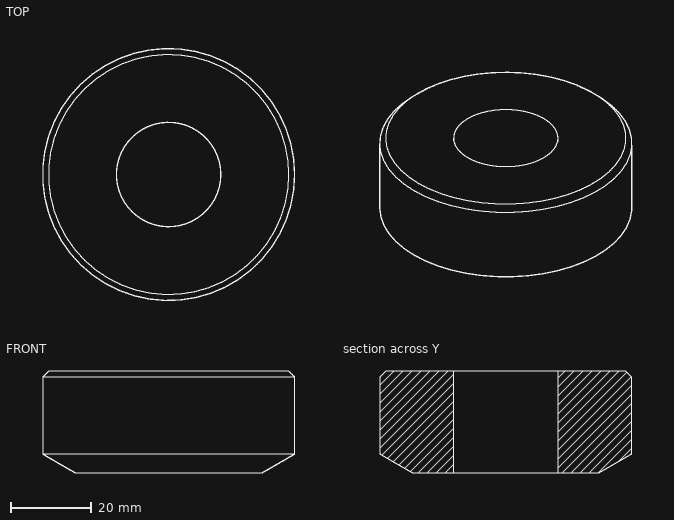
import cadquery as cq
import math

outer_diameter = 63.0
height = 25.5
bore_diameter = 26.0

top_chamfer = 1.5
bottom_bevel_width = 8.2
bottom_bevel_angle = 30.0

outer_radius = outer_diameter / 2
bore_radius = bore_diameter / 2
bottom_bevel_height = bottom_bevel_width * math.tan(math.radians(bottom_bevel_angle))

half_section = (
    cq.Workplane("XZ")
    .moveTo(bore_radius, 0)
    .lineTo(outer_radius - bottom_bevel_width, 0)
    .lineTo(outer_radius, bottom_bevel_height)
    .lineTo(outer_radius, height - top_chamfer)
    .lineTo(outer_radius - top_chamfer, height)
    .lineTo(bore_radius, height)
    .close()
)

result = half_section.revolve(360, (0, 0, 0), (0, 1, 0))